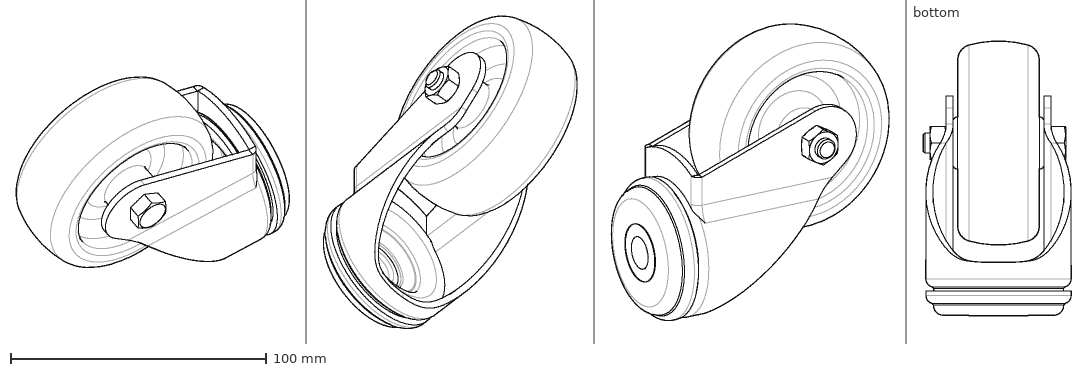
import cadquery as cq
import math


SWIVEL_Z = -39.9
HEAD_DIAMETER = 57.0
HEAD_HOLE_DIAMETER = 13.0
HEAD_TOP_Y = 67.8
BOSS_HEIGHT = 0.3
BOSS_RADIUS = 11.6
CROWN_RADIUS = 25.6
CROWN_ROUND = 4.0
SHOULDER_ROUND = 3.2
CUP_SIDE_Y = 59.7
CUP_SHOULDER_Y = 62.8
CUP_RIM_Y = 57.8
NECK_RADIUS = 25.5
NECK_FOOT_Y = 57.0
BASE_TOP_Y = 56.3
BASE_SIDE_Y = 53.2

FLOOR_Y = 49.6
FLOOR_FOOT_RADIUS = 27.6
FLOOR_EDGE_RADIUS = 27.0
OUTER_STEP_RADIUS = 16.7
OUTER_STEP_ROUND = 4.4
OUTER_STEP_FILLET = 1.2
INNER_STEP_RADIUS = 11.6
INNER_STEP_ROUND = 3.4
INNER_STEP_FILLET = 0.5
RIVET_RADIUS = 10.2
RIVET_ROUND = 0.8
HOLE_ROUND = 1.3

SHEET = 2.8
LEG_OUTER_X = 20.6
WEB_OUTER_Y = 54.7
WEB_INNER_Y = 51.8
BEND_RADIUS = 3.1
FLARE_RADIUS = 11.4
FLARE_Z = -16.0
LEG_END_Y = -4.3
LEG_END_RADIUS = 14.1
TOP_SLOPE = math.radians(18.9)
CUT_SLOPE = math.radians(41.8)
SKIRT_Y = 46.7
SKIRT_ROUND = 9.2

WHEEL_RADIUS = 40.0
WHEEL_HALF_WIDTH = 16.0
TREAD_CROWN_RADIUS = 43.3
TREAD_ROUND = 6.1
RECESS_RADIUS = 27.3
RECESS_LIP_ROUND = 2.0
RECESS_FILLET = 5.3
DISC_HALF_WIDTH = 2.7
HUB_DIAMETER = 20.5
HUB_EDGE_ROUND = 1.6

AXLE_DIAMETER = 8.0
AXLE_TIP_X = -29.5
TIP_CHAMFER = 0.8
HEX_WIDTH = 13.0
HEX_CHAMFER_SLOPE = math.radians(25)
NUT_HEIGHT = 6.2
NUT_CHAMFER_DIAMETER = 13.0
BOLT_HEAD_HEIGHT = 5.8
BOLT_CHAMFER_DIAMETER = 12.0

HEAD_RADIUS = HEAD_DIAMETER / 2
HUB_RADIUS = HUB_DIAMETER / 2
LEG_INNER_X = LEG_OUTER_X - SHEET
SKIRT_INNER_RADIUS = HEAD_RADIUS - SHEET
BEND_Y = WEB_OUTER_Y - BEND_RADIUS
FLARE_X = LEG_OUTER_X + FLARE_RADIUS
JOIN_ANGLE = math.atan2(FLARE_Z - SWIVEL_Z, FLARE_X)
FAR = 108.3
HALF_ARC = math.sqrt(0.5)



def about_swivel_axis(profile):
    """Revolve an (r, y) profile about the swivel axis."""
    return profile.close().revolve(360, (0, 0, 0), (0, 1, 0)).translate((0, 0, SWIVEL_Z))


def about_axle(profile):
    """Revolve an (x, r) profile about the axle."""
    return profile.close().revolve(360, (0, 0, 0), (1, 0, 0))


def axle_cylinder(diameter, start_x, end_x):
    return cq.Workplane("YZ").workplane(offset=start_x).circle(diameter / 2).extrude(end_x - start_x)


def quarter_middle(centre, radius, side_1, side_2):
    """Middle of a quarter arc on the given sides (+1 or -1) of its centre."""
    return (centre[0] + side_1 * radius * HALF_ARC, centre[1] + side_2 * radius * HALF_ARC)


def polar(centre, radius, angle):
    return (centre[0] + radius * math.cos(angle), centre[1] + radius * math.sin(angle))



def rounded_shoulder(profile, side_y, top_y):
    """Continue a head profile from its cylindrical side round the shoulder up to top_y."""
    centre = (HEAD_RADIUS - SHOULDER_ROUND, side_y)
    top_angle = math.asin((top_y - side_y) / SHOULDER_ROUND)
    return profile.lineTo(HEAD_RADIUS, side_y).threePointArc(
        polar(centre, SHOULDER_ROUND, top_angle / 2), polar(centre, SHOULDER_ROUND, top_angle)
    )


def swivel_head():
    """Cup, neck and round base of the fork, outside only."""
    end_y = HEAD_TOP_Y - BOSS_HEIGHT
    crown_centre = (CROWN_RADIUS - CROWN_ROUND, end_y - CROWN_ROUND)
    profile = cq.Workplane("XY").moveTo(0, BEND_Y).lineTo(HEAD_RADIUS, BEND_Y)
    profile = rounded_shoulder(profile, BASE_SIDE_Y, BASE_TOP_Y)
    profile = (
        profile.lineTo(NECK_RADIUS, NECK_FOOT_Y)
        .lineTo(NECK_RADIUS, CUP_RIM_Y)
        .lineTo(HEAD_RADIUS, CUP_RIM_Y)
    )
    profile = rounded_shoulder(profile, CUP_SIDE_Y, CUP_SHOULDER_Y)
    profile = (
        profile.lineTo(CROWN_RADIUS, crown_centre[1])
        .threePointArc(quarter_middle(crown_centre, CROWN_ROUND, 1, 1), (crown_centre[0], end_y))
        .lineTo(BOSS_RADIUS, end_y)
        .lineTo(BOSS_RADIUS, HEAD_TOP_Y)
        .lineTo(0, HEAD_TOP_Y)
    )
    return about_swivel_axis(profile)


def swivel_floor():
    """Thick round floor inside the skirt, with a conical side below the web."""
    profile = (
        cq.Workplane("XY")
        .moveTo(0, FLOOR_Y)
        .lineTo(FLOOR_EDGE_RADIUS, FLOOR_Y)
        .lineTo(FLOOR_FOOT_RADIUS, WEB_INNER_Y)
        .lineTo(FLOOR_FOOT_RADIUS, BASE_SIDE_Y)
        .lineTo(0, BASE_SIDE_Y)
    )
    return about_swivel_axis(profile)


def rounded_step(profile, start_y, radius, edge_round, fillet=0):
    """Continue a recess profile over a rounded edge at `radius`, and out through a fillet if any."""
    edge_centre = (radius + edge_round, start_y + edge_round)
    profile = profile.lineTo(edge_centre[0], start_y).threePointArc(
        quarter_middle(edge_centre, edge_round, -1, -1), (radius, edge_centre[1])
    )
    if fillet:
        fillet_centre = (radius - fillet, edge_centre[1])
        profile = profile.threePointArc(
            quarter_middle(fillet_centre, fillet, 1, 1), (fillet_centre[0], fillet_centre[1] + fillet)
        )
    return profile


def swivel_recess():
    """Rounded steps from the floor down to the hole through the head."""
    hole_radius = HEAD_HOLE_DIAMETER / 2
    ledge_y = FLOOR_Y + OUTER_STEP_ROUND + OUTER_STEP_FILLET
    rivet_y = ledge_y + INNER_STEP_ROUND + INNER_STEP_FILLET
    hole_y = rivet_y + RIVET_ROUND
    profile = cq.Workplane("XY").moveTo(0, FLOOR_Y)
    profile = rounded_step(profile, FLOOR_Y, OUTER_STEP_RADIUS, OUTER_STEP_ROUND, OUTER_STEP_FILLET)
    profile = rounded_step(profile, ledge_y, INNER_STEP_RADIUS, INNER_STEP_ROUND, INNER_STEP_FILLET)
    profile = rounded_step(profile, rivet_y, RIVET_RADIUS, RIVET_ROUND)
    profile = rounded_step(profile, hole_y, hole_radius, HOLE_ROUND)
    profile = profile.lineTo(hole_radius, HEAD_TOP_Y).lineTo(0, HEAD_TOP_Y)
    return about_swivel_axis(profile)


def keyhole_prism(leg_x, flare_radius, skirt_radius, end_y):
    """Keyhole section up to end_y: two straight legs that flare into a round skirt."""
    join = polar((0, SWIVEL_Z), skirt_radius, JOIN_ANGLE)
    middle = polar((FLARE_X, FLARE_Z), flare_radius, math.pi + JOIN_ANGLE / 2)
    return (
        cq.Workplane("XZ", origin=(0, end_y, 0))
        .moveTo(-leg_x, LEG_END_RADIUS)
        .lineTo(leg_x, LEG_END_RADIUS)
        .lineTo(leg_x, FLARE_Z)
        .threePointArc(middle, join)
        .threePointArc((0, SWIVEL_Z - skirt_radius), (-join[0], join[1]))
        .threePointArc((-middle[0], middle[1]), (-leg_x, FLARE_Z))
        .close()
        .extrude(FAR)
    )


def cut_line_y(z):
    """Y of the fork's sloping lower edge at height z, with its rounded lower end."""
    line_y = LEG_END_Y + (-z * math.cos(CUT_SLOPE) - LEG_END_RADIUS) / math.sin(CUT_SLOPE)
    corner_z = -(LEG_END_RADIUS + (SKIRT_Y - LEG_END_Y) * math.sin(CUT_SLOPE)) / math.cos(CUT_SLOPE)
    setback = SKIRT_ROUND * math.tan((math.pi / 2 - CUT_SLOPE) / 2)
    if z > corner_z + setback * math.sin(CUT_SLOPE):
        return line_y
    below_centre = z - (corner_z - setback)
    return SKIRT_Y - SKIRT_ROUND + math.sqrt(SKIRT_ROUND**2 - below_centre**2)


def fork_side():
    """Side outline of the legs plus the web's round top; below the flare it leaves the skirt uncut."""
    top_point = polar((LEG_END_Y, 0), LEG_END_RADIUS, math.pi / 2 - TOP_SLOPE)
    cut_point = polar((LEG_END_Y, 0), LEG_END_RADIUS, -math.pi / 2 - CUT_SLOPE)
    corner_z = top_point[1] - (BEND_Y - top_point[0]) * math.tan(TOP_SLOPE)
    flare_y = cut_line_y(FLARE_Z)
    sides = (
        cq.Workplane("YZ")
        .moveTo(*top_point)
        .threePointArc((LEG_END_Y - LEG_END_RADIUS, 0), cut_point)
        .lineTo(flare_y, FLARE_Z)
        .lineTo(flare_y, -FAR)
        .lineTo(WEB_OUTER_Y, -FAR)
        .lineTo(WEB_OUTER_Y, corner_z)
        .lineTo(BEND_Y, corner_z)
        .close()
        .extrude(FAR, both=True)
    )
    web_disc = cq.Workplane("XZ", origin=(0, WEB_OUTER_Y, SWIVEL_Z)).circle(-SWIVEL_Z).extrude(BEND_RADIUS)
    between_legs = cq.Workplane("XY").box(2 * LEG_INNER_X, FAR * 2, FAR * 2)
    return sides.union(web_disc.intersect(between_legs))


def edge_cutter(centre, outer_radius, inner_radius, start, end):
    """Waste below the sloping edge along one arc of the sheet, cut square to the sheet."""
    steps = 12
    margin = math.copysign(1.1, outer_radius - inner_radius)
    angles = [start + (end - start) * i / steps for i in range(steps + 1)]
    rails = []
    for radius in (outer_radius + margin, inner_radius - margin):
        points = []
        for angle in angles:
            x, z = polar(centre, radius, angle)
            edge_y = cut_line_y(polar(centre, outer_radius, angle)[1])
            points.append(cq.Vector(x, edge_y, z))
        rails.append(cq.Edge.makeSpline(points))
    edge_face = cq.Face.makeRuledSurface(*rails)
    return cq.Workplane(cq.Solid.extrudeLinear(edge_face, cq.Vector(0, -FAR, 0)))


def fork_sheet(outside):
    """Bent sheet of web, legs and skirt, trimmed along its sloping edges."""
    inside = keyhole_prism(LEG_INNER_X, FLARE_RADIUS + SHEET, SKIRT_INNER_RADIUS, WEB_INNER_Y)
    sheet = outside.cut(inside).intersect(fork_side())
    flare_waste = edge_cutter(
        (FLARE_X, FLARE_Z), FLARE_RADIUS, FLARE_RADIUS + SHEET, math.pi, math.pi + JOIN_ANGLE
    )
    skirt_waste = edge_cutter((0, SWIVEL_Z), HEAD_RADIUS, SKIRT_INNER_RADIUS, JOIN_ANGLE, -math.pi / 2)
    for waste in (flare_waste, skirt_waste):
        sheet = sheet.cut(waste).cut(waste.mirror("YZ"))
    return sheet


def make_fork():
    outside = keyhole_prism(LEG_OUTER_X, FLARE_RADIUS, HEAD_RADIUS, WEB_OUTER_Y)
    outside = outside.faces(">Y").edges().fillet(BEND_RADIUS)
    return (
        fork_sheet(outside)
        .union(swivel_floor().intersect(outside))
        .union(swivel_head())
        .cut(swivel_recess())
        .cut(axle_cylinder(AXLE_DIAMETER, -FAR, FAR))
    )



def tyre():
    """Solid wheel with a crowned tread and rounded shoulders."""
    crown_drop = TREAD_CROWN_RADIUS - math.sqrt(TREAD_CROWN_RADIUS**2 - WHEEL_HALF_WIDTH**2)
    shoulder_radius = WHEEL_RADIUS - crown_drop
    profile = (
        cq.Workplane("XY")
        .moveTo(-WHEEL_HALF_WIDTH, 0)
        .lineTo(-WHEEL_HALF_WIDTH, shoulder_radius)
        .threePointArc((0, WHEEL_RADIUS), (WHEEL_HALF_WIDTH, shoulder_radius))
        .lineTo(WHEEL_HALF_WIDTH, 0)
    )
    return about_axle(profile).edges("%CIRCLE").fillet(TREAD_ROUND)


def wheel_recess():
    """Ring-shaped recess around the hub on the +X side."""
    lip_centre = (WHEEL_HALF_WIDTH - RECESS_LIP_ROUND, RECESS_RADIUS + RECESS_LIP_ROUND)
    wall_x = DISC_HALF_WIDTH + RECESS_FILLET
    outer_centre = (wall_x, RECESS_RADIUS - RECESS_FILLET)
    hub_centre = (wall_x, HUB_RADIUS + RECESS_FILLET)
    profile = (
        cq.Workplane("XY")
        .moveTo(WHEEL_HALF_WIDTH, HUB_RADIUS)
        .lineTo(WHEEL_HALF_WIDTH, lip_centre[1])
        .threePointArc(
            quarter_middle(lip_centre, RECESS_LIP_ROUND, 1, -1), (lip_centre[0], RECESS_RADIUS)
        )
        .lineTo(wall_x, RECESS_RADIUS)
        .threePointArc(
            quarter_middle(outer_centre, RECESS_FILLET, -1, 1), (DISC_HALF_WIDTH, outer_centre[1])
        )
        .lineTo(DISC_HALF_WIDTH, hub_centre[1])
        .threePointArc(quarter_middle(hub_centre, RECESS_FILLET, -1, -1), (wall_x, HUB_RADIUS))
    )
    return about_axle(profile)


def make_wheel():
    hub = axle_cylinder(HUB_DIAMETER, -LEG_INNER_X, LEG_INNER_X).edges("%CIRCLE").fillet(HUB_EDGE_ROUND)
    recess = wheel_recess()
    return (
        tyre()
        .cut(recess)
        .cut(recess.mirror("YZ"))
        .union(hub)
        .cut(axle_cylinder(AXLE_DIAMETER, -FAR, FAR))
    )



def hexagon(height, chamfer_diameter, inner_end_chamfered):
    """Hexagonal prism from the YZ plane along +X, corners on Z, ends chamfered by a cone."""
    corner = HEX_WIDTH / math.sqrt(3)
    chamfer_radius = chamfer_diameter / 2
    depth = (corner - chamfer_radius) * math.tan(HEX_CHAMFER_SLOPE)
    prism = cq.Workplane("YZ").transformed(rotate=(0, 0, 90)).polygon(6, 2 * corner).extrude(height)
    envelope = cq.Workplane("XY").moveTo(0, 0)
    if inner_end_chamfered:
        envelope = envelope.lineTo(0, chamfer_radius).lineTo(depth, corner)
    else:
        envelope = envelope.lineTo(0, corner)
    envelope = (
        envelope.lineTo(height - depth, corner)
        .lineTo(height, chamfer_radius)
        .lineTo(height, 0)
    )
    return prism.intersect(about_axle(envelope))


def make_axle():
    shank = axle_cylinder(AXLE_DIAMETER, AXLE_TIP_X, LEG_OUTER_X).faces("<X").chamfer(TIP_CHAMFER)
    bolt_head = hexagon(BOLT_HEAD_HEIGHT, BOLT_CHAMFER_DIAMETER, False).translate((LEG_OUTER_X, 0, 0))
    nut = hexagon(NUT_HEIGHT, NUT_CHAMFER_DIAMETER, True).mirror("YZ").translate((-LEG_OUTER_X, 0, 0))
    return shank.union(bolt_head).union(nut)


fork = make_fork().solids().val()
wheel = make_wheel().solids().val()
axle = make_axle().solids().val()

result = cq.Compound.makeCompound([fork, wheel, axle])